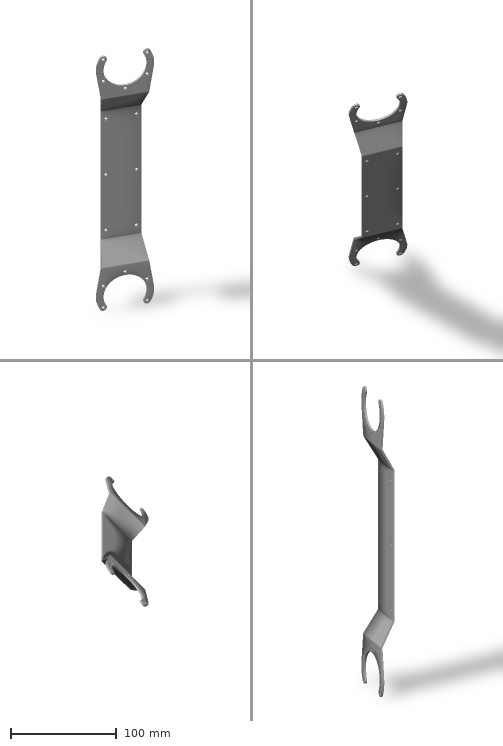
import cadquery as cq
import math

length = 296.0
depth = 15.7
thickness = 2.0
strip_width = 40.0

bend_angle = 30.0
upper_bend_z = 99.0
inner_bend_radius = 1.0
outer_bend_radius = inner_bend_radius + thickness

bore_diameter = 43.0
bore_radius = bore_diameter / 2
ring_diameter = 57.0
ring_radius = ring_diameter / 2
tip_radius = (ring_radius - bore_radius) / 2
bolt_circle_radius = bore_radius + tip_radius
tip_angle = 30.0

hole_diameter = 3.3
strip_hole_y = 15.0
strip_hole_pitch = 64.8

half_width = strip_width / 2
front_x = -depth / 2
back_x = depth / 2
offset = depth - thickness
lower_bend_z = upper_bend_z - offset / math.tan(math.radians(bend_angle))
miter = thickness * math.tan(math.radians(bend_angle / 2))
tip_rise = bolt_circle_radius * math.sin(math.radians(tip_angle))
ring_z = length / 2 - tip_radius - tip_rise


def ring_point(radius, angle):
    """Point (Y, Z) on a circle about the upper ring centre, angle measured from +Y."""
    turn = math.radians(angle)
    return (radius * math.cos(turn), ring_z + radius * math.sin(turn))


def mirror_y(point):
    return (-point[0], point[1])


def bent_sheet():
    """Side profile of the sheet, extruded across the width, with rounded bends."""
    front = [
        (front_x + offset, length / 2),
        (front_x + offset, upper_bend_z),
        (front_x, lower_bend_z),
    ]
    back = [
        (back_x, length / 2),
        (back_x, upper_bend_z - miter),
        (front_x + thickness, lower_bend_z - miter),
    ]
    front_lower = [(x, -z) for x, z in reversed(front)]
    back_lower = [(x, -z) for x, z in reversed(back)]
    outline = front + front_lower + list(reversed(back + back_lower))
    sheet = cq.Workplane("XZ").polyline(outline).close().extrude(ring_radius, both=True)

    def round_bend(body, corner, radius):
        x, z = corner
        for bend_z in (z, -z):
            body = body.edges(cq.NearestToPointSelector((x, 0, bend_z))).fillet(radius)
        return body

    sheet = round_bend(sheet, front[1], inner_bend_radius)
    sheet = round_bend(sheet, front[2], outer_bend_radius)
    sheet = round_bend(sheet, back[1], outer_bend_radius)
    return round_bend(sheet, back[2], inner_bend_radius)


def upper_outline():
    """Upper half of the face outline; the sides flare tangentially into the ring."""
    rise = ring_z - lower_bend_z
    corner_distance = math.hypot(half_width, rise)
    lean = math.asin(ring_radius / corner_distance) - math.atan2(half_width, rise)
    tangent = ring_point(ring_radius, -math.degrees(lean))
    outer_middle = ring_point(ring_radius, tip_angle / 2)
    outer_tip = ring_point(ring_radius, tip_angle)
    inner_tip = ring_point(bore_radius, tip_angle)
    tip_center = ring_point(bolt_circle_radius, tip_angle)
    turn = math.radians(tip_angle)
    tip_end = (
        tip_center[0] - tip_radius * math.sin(turn),
        tip_center[1] + tip_radius * math.cos(turn),
    )
    return (
        cq.Workplane("YZ")
        .moveTo(half_width, 0)
        .lineTo(half_width, lower_bend_z)
        .lineTo(*tangent)
        .threePointArc(outer_middle, outer_tip)
        .threePointArc(tip_end, inner_tip)
        .threePointArc(ring_point(bore_radius, -90), mirror_y(inner_tip))
        .threePointArc(mirror_y(tip_end), mirror_y(outer_tip))
        .threePointArc(mirror_y(outer_middle), mirror_y(tangent))
        .lineTo(-half_width, lower_bend_z)
        .lineTo(-half_width, 0)
        .close()
        .extrude(depth, both=True)
    )


def hole_pins():
    """Pins for the strip holes and for the five holes around each ring."""
    points = []
    for y in (-strip_hole_y, strip_hole_y):
        for row in (-1, 0, 1):
            points.append((y, row * strip_hole_pitch))
    for angle in (tip_angle, -tip_angle, -90, 180 + tip_angle, 180 - tip_angle):
        y, z = ring_point(bolt_circle_radius, angle)
        points += [(y, z), (y, -z)]
    return cq.Workplane("YZ").pushPoints(points).circle(hole_diameter / 2).extrude(depth, both=True)


upper_half = upper_outline()
face_shape = upper_half.union(upper_half.mirror("XY"))
result = bent_sheet().intersect(face_shape).cut(hole_pins())